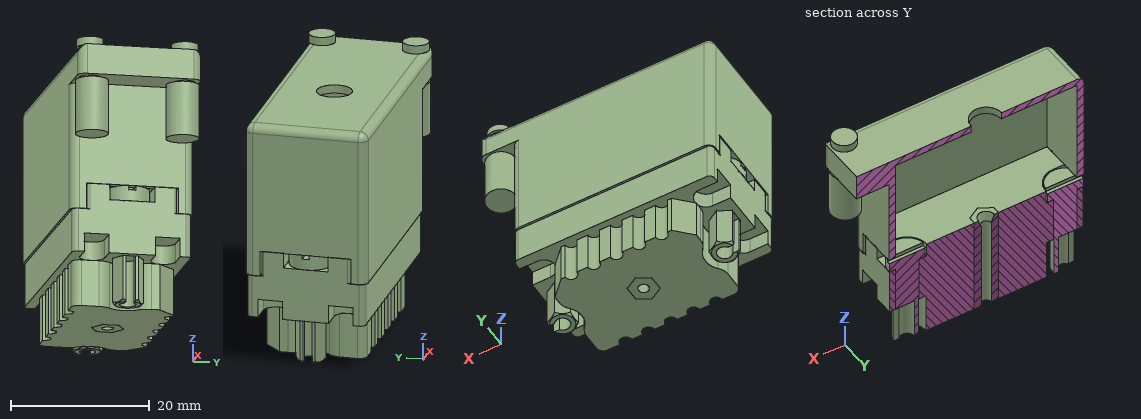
import cadquery as cq
import math

total_length = 39.12
total_height = 37.5
cover_length = 33.6
cover_width = 18.15
cover_top = 36.25
cover_bottom = 13.2
cover_radius = 1.25
cover_wall = 1.25
arm_bottom = 31.85
access_hole_diameter = 5.15

window_width = 13.55
window_top = 16.98
tongue_width = 13.15
tongue_radius = 0.3

base_end_inset = 0.15
base_side_inset = 0.3
base_bottom = 6.8
base_radius = 0.82
side_slot_width = 3.65
side_slot_height = 2.75
side_slot_offset = 5.25

insert_start = 4.93
insert_width = 15.4
insert_corner_radius = 1.2
insert_chamfer = 2.62
insert_end_radius = 3.2
insert_scoop_fillet = 2.5
groove_radius = 0.98
groove_pitch = 3.8
groove_count = 5

guide_inset = 3.2
guide_flats = 3.95
guide_bore_diameter = 2.35
guide_key_width = 1.35
guide_tip_chamfer = 0.4
head_diameter = 6.25
head_pocket_width = 6.6
head_bottom = 14.7
driver_slot_width = 1.05
driver_slot_depth = 0.63

jack_flats = 4.1
jack_bore_diameter = 1.65
jack_countersink_diameter = 2.65
jack_countersink_angle = 40.0

post_spacing = 13.95
post_head_diameter = 3.9
post_neck_diameter = 3.13
post_sleeve_diameter = 4.77
post_sleeve_top = 31.45
post_sleeve_bottom = 23.5

center_x = cover_length / 2
cavity_length = cover_length - 2 * cover_wall
cavity_width = cover_width - 2 * cover_wall
base_length = cover_length - 2 * base_end_inset
base_width = cover_width - 2 * base_side_inset
insert_length = cover_length - 2 * insert_start
guide_spacing = cover_length - 2 * guide_inset
guide_places = [center_x - guide_spacing / 2, center_x + guide_spacing / 2]
post_x = total_length - post_sleeve_diameter / 2
post_sleeve_spacing = cover_width - post_sleeve_diameter


def block(length, width, z_low, z_high, x_mid=center_x):
    """Upright box centred on the Y = 0 plane."""
    return (
        cq.Workplane("XY", origin=(x_mid, 0, z_low))
        .rect(length, width)
        .extrude(z_high - z_low)
    )


def rod(diameter, z_low, z_high, x=0.0, y=0.0):
    """Upright cylinder."""
    return cq.Workplane("XY", origin=(x, y, z_low)).circle(diameter / 2).extrude(z_high - z_low)


def hexagon(flats, z_low, z_high, x=0.0):
    """Upright hexagonal prism with two flats facing -X and +X."""
    return (
        cq.Workplane("XY", origin=(x, 0, z_low))
        .transformed(rotate=(0, 0, 90))
        .polygon(6, flats / math.cos(math.pi / 6))
        .extrude(z_high - z_low)
    )


def make_cover():
    body = block(cover_length, cover_width, cover_bottom, arm_bottom).edges("|Z").fillet(cover_radius)

    lid_mid = total_length / 2
    lid = block(total_length, cover_width, arm_bottom, cover_top, lid_mid)
    lid = lid.edges("(|Z and <X) or (>Z and (not >X))").fillet(cover_radius)
    lid_outline = block(total_length, cover_width, arm_bottom, cover_top, lid_mid)
    lid = lid.intersect(lid_outline.edges("|Z and >X").fillet(cover_radius))

    cover = body.union(lid)
    cover = cover.cut(block(cavity_length, cavity_width, cover_bottom, cover_top - cover_wall))
    cover = cover.cut(block(cover_length, window_width, cover_bottom, window_top))
    cover = cover.cut(rod(access_hole_diameter, window_top, cover_top, center_x))
    for y in (-post_spacing / 2, post_spacing / 2):
        cover = cover.cut(rod(post_neck_diameter, arm_bottom, cover_top, post_x, y))
    return cover


def make_contact_block():
    insert = block(insert_length, insert_width, 0, base_bottom)
    insert = insert.edges("|Z and >Y").chamfer(insert_chamfer)
    insert = insert.edges("|Z and <Y").fillet(insert_corner_radius)

    for x in guide_places:
        insert = insert.cut(rod(2 * insert_end_radius, 0, base_bottom, x))
    scoop_half_width = math.sqrt(insert_end_radius**2 - (insert_start - guide_inset) ** 2)
    margin = 0.05
    scoop_edges = cq.selectors.BoxSelector(
        (0, -scoop_half_width - margin, 0),
        (cover_length, scoop_half_width + margin, base_bottom),
    )
    insert = insert.edges("|Z").edges(scoop_edges).fillet(insert_scoop_fillet)

    for i in range(groove_count):
        x = center_x + (i - (groove_count - 1) / 2) * groove_pitch
        for y in (-insert_width / 2, insert_width / 2):
            insert = insert.cut(rod(2 * groove_radius, 0, base_bottom, x, y))
    return insert


def make_base():
    base = block(base_length, base_width, base_bottom, cover_bottom).edges("|Z").fillet(base_radius)
    base = base.union(block(cavity_length, cavity_width, cover_bottom, window_top))
    tongue = block(base_length, tongue_width, cover_bottom, window_top)
    base = base.union(tongue.edges("|Z").fillet(tongue_radius))

    for x, end_x in zip(guide_places, (0, cover_length)):
        for y in (-side_slot_offset, side_slot_offset):
            slot_top = base_bottom + side_slot_height
            base = base.cut(rod(side_slot_width, base_bottom, slot_top, x, y))
            mouth = block(guide_inset, side_slot_width, base_bottom, slot_top, (x + end_x) / 2)
            base = base.cut(mouth.translate((0, y, 0)))

    base = base.union(make_contact_block())

    for x, end_x in zip(guide_places, (0, cover_length)):
        base = base.cut(hexagon(guide_flats, 0, head_bottom, x))
        base = base.cut(rod(head_pocket_width, head_bottom, window_top, x))
        base = base.cut(block(guide_inset, head_pocket_width, head_bottom, window_top, (x + end_x) / 2))

    return base.cut(hexagon(jack_flats, 0, window_top, center_x))


def make_guide():
    """Guide on the Z axis, with its key slot facing -X."""
    tip_limit = rod(guide_flats / math.cos(math.pi / 6), 0, head_bottom)
    tip_limit = tip_limit.faces("<Z").edges().chamfer(guide_tip_chamfer)
    guide = hexagon(guide_flats, 0, head_bottom).intersect(tip_limit)

    guide = guide.cut(rod(guide_bore_diameter, 0, base_bottom))
    guide = guide.cut(block(guide_flats / 2, guide_key_width, 0, base_bottom, -guide_flats / 4))

    guide = guide.union(rod(head_diameter, head_bottom, window_top))
    slot_bottom = window_top - driver_slot_depth
    return guide.cut(block(head_diameter, driver_slot_width, slot_bottom, window_top, 0))


def make_jack():
    jack = hexagon(jack_flats, 0, window_top, center_x)
    top = jack.faces(">Z").workplane(origin=(center_x, 0, 0))
    return top.cskHole(jack_bore_diameter, jack_countersink_diameter, jack_countersink_angle)


def make_post(side):
    """Post on the -Y or +Y side of the arm; the sleeve sits slightly inward of the head."""
    head_y = side * post_spacing / 2
    sleeve_y = side * post_sleeve_spacing / 2
    post = rod(post_sleeve_diameter, post_sleeve_bottom, post_sleeve_top, post_x, sleeve_y)
    post = post.union(rod(post_neck_diameter, post_sleeve_top, cover_top, post_x, head_y))
    return post.union(rod(post_head_diameter, cover_top, total_height, post_x, head_y))


cover = make_cover()
base = make_base()
jack = make_jack()
guides = []
for x, turn in zip(guide_places, (0, 180)):
    guide = make_guide().rotate((0, 0, 0), (0, 0, 1), turn)
    guides.append(guide.translate((x, 0, 0)).val())
posts = [make_post(side).val() for side in (-1, 1)]

result = cq.Compound.makeCompound([cover.val(), base.val(), jack.val(), *guides, *posts])